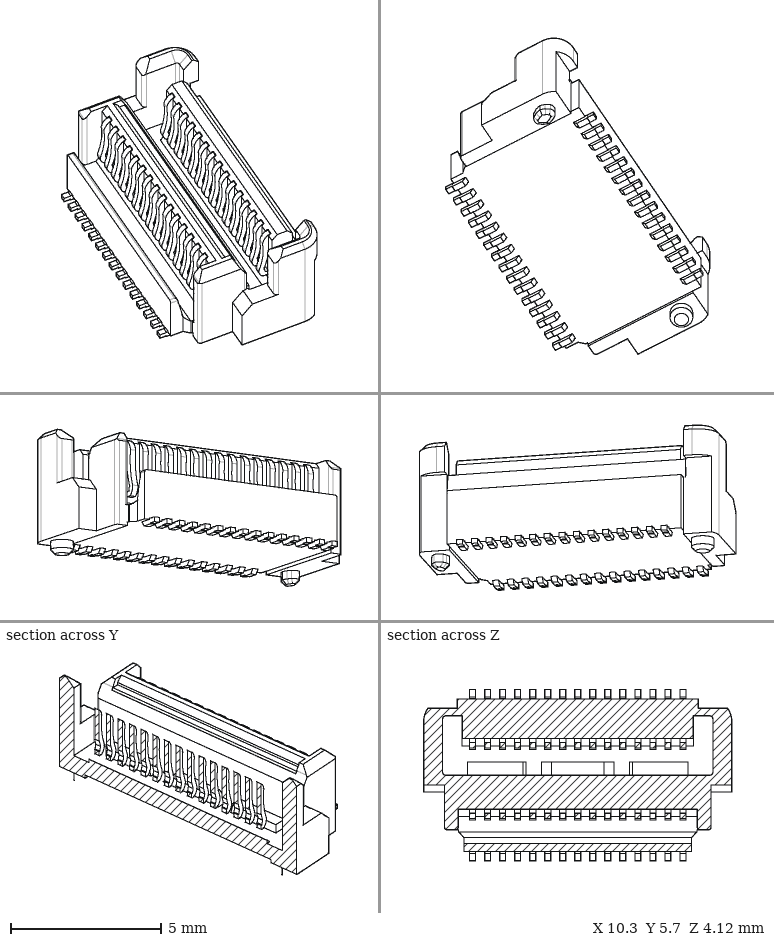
import cadquery as cq
import math


HOUSING_WIDTH = 10.26
HOUSING_FRONT_Y = -0.56
HOUSING_REAR_Y = 2.53
ARM_TOP_Z = 3.7
CORNER_RADIUS = 0.75
ARM_OUTER_CHAMFER = 0.18
ARM_INNER_CHAMFER = 0.31
CHAMFER_CLEARANCE = 0.0001
ARM_FRONT_Y = 0.67
ARM_FRONT_CHAMFER = 0.4
ARM_EDGE_RADIUS = 0.12
ARM_TIP_X = 4.09
OVERHANG_Z = 2.63
BACK_FACE_Y = 2.23
SHOULDER_Z = 1.81
SHOULDER_CHAMFER = 0.39
FLOOR_Z = 0.71
CAVITY_HALF_WIDTH = 4.49
CAVITY_REAR_Y = 1.97
CAVITY_CORNER_RADIUS = 0.1

WALL_TOP_Z = 3.2
WALL_CHAMFER = 0.2
FOOT_CHAMFER = 0.24
ROW_SPACING = 2.35
FRONT_WALL_FACE_Y = -1.14
REAR_WALL_FACE_Y = FRONT_WALL_FACE_Y + ROW_SPACING
REAR_WALL_HALF_WIDTH = 3.85
LEDGE_HALF_WIDTH = 4.1
LEDGE_REAR_Y = 2.08

BAR_BOTTOM_Z = 0.12
REAR_BAR_HALF_WIDTH = 4.01
REAR_BAR_TOP_Z = 1.97
COVER_HALF_WIDTH = 3.79
COVER_FRONT_Y = -2.54
COVER_TOP_BACK_Y = -2.3
COVER_FOOT_Y = -2.08
COVER_FOOT_Z = 0.84
COVER_EDGE_RADIUS = 0.08
WEB_REAR_Y = -1.89
WEB_BEND_RUN = 0.087
WEB_BEND_RISE = 0.053

BLOCK_HALF_WIDTH = 4.44
BLOCK_FRONT_Y = -1.83
BLOCK_CREST_Y = -0.42
BLOCK_SIDE_CHAMFER = 0.31
BLOCK_FRONT_CHAMFER = 0.28
BLOCK_EDGE_RADIUS = 0.11
BLOCK_LIP_Y = -1.8
BLOCK_LIP_Z = 2.92
BLOCK_LIP_DROP = 0.06
BLOCK_SLOPE_START_Z = 2.48
BLOCK_SLOPE_KNEE_Y = -0.29
BLOCK_SLOPE_KNEE_Z = 2.94
SLOT_HALF_WIDTH = 3.97
SLOT_MOUTH_RADIUS = 0.11
RECESS_EDGE_Y = -0.24
RECESS_Z = 2.91
RECESS_LIP = 0.06
RECESS_FRONT_Y = -0.73

CONTACT_COUNT = 15
CONTACT_PITCH = 0.5001
CONTACT_WIDTH = 0.21
CONTACT_ROOT = -0.1
CONTACT_TIP = (-0.06, 3.09)
CONTACT_NOSE = (0.12, 2.95)
CONTACT_BULGE = (0.23, 2.72)
CONTACT_WAIST = (0.21, 2.31)
CONTACT_KNEE = (0.36, 1.49)
CONTACT_CURL = (0.33, 1.29)
CONTACT_END = (0.21, 1.15)
CONTACT_GAP = [(0, 2.1), (0.16, 1.5), (0.12, 1.33), (0, 1.29)]
TAIL_REACH_Y = 2.85
TAIL_TOP_Z = 0.15
TAIL_BOTTOM_Z = -0.01
HEEL_BOTTOM_Z = -0.04
TAIL_STEP = 0.25
TAIL_OVERLAP = 0.05
HEEL_SLANT = 0.12

PEG_X = 4.49
PEG_Y = 1.49
PEG_DIAMETER = 0.76
DIAMOND_PEG_WIDTH = 0.62
DIAMOND_PEG_SHOULDER = (0.25, 0.17)
DIAMOND_PEG_ARC_END = (0.15, 0.32)
PEG_BOTTOM_Z = -0.42
PEG_CHAMFER = 0.14

KEY_DEPTH_Y = 0.44
KEY_HEIGHT = 0.33
CENTRE_KEY = (-1.2, 1.2, 0.33, 0.33)
LEFT_KEY = (-3.67, -1.72, 0.0, 0.09)
RIGHT_KEY = (1.72, 3.67, 0.09, 0.0)


def box(x0, x1, y0, y1, z0, z1):
    return cq.Workplane("XY").box(x1 - x0, y1 - y0, z1 - z0, centered=False).translate((x0, y0, z0))


def across(points, half_width):
    """Extrude a closed (Y, Z) outline symmetrically along X."""
    return cq.Workplane("YZ").polyline(points).close().extrude(half_width, both=True)


def make_housing():
    half = HOUSING_WIDTH / 2
    body = box(-half, half, HOUSING_FRONT_Y, HOUSING_REAR_Y, 0, ARM_TOP_Z)
    body = body.edges("|Z and >Y").fillet(CORNER_RADIUS)
    body = body.faces(">Z").edges().chamfer(ARM_OUTER_CHAMFER)

    cavity = box(
        -CAVITY_HALF_WIDTH, CAVITY_HALF_WIDTH,
        0, CAVITY_REAR_Y,
        FLOOR_Z, ARM_TOP_Z,
    ).edges("|Z").fillet(CAVITY_CORNER_RADIUS)
    mouth_z = ARM_TOP_Z - ARM_INNER_CHAMFER
    flare_half = CAVITY_HALF_WIDTH + ARM_INNER_CHAMFER
    flare = box(
        -flare_half, flare_half,
        0, CAVITY_REAR_Y + ARM_INNER_CHAMFER,
        mouth_z, ARM_TOP_Z,
    ).edges("|Z and >Y").fillet(CAVITY_CORNER_RADIUS + ARM_INNER_CHAMFER)
    flare = flare.faces("<Z").edges().chamfer(ARM_INNER_CHAMFER - CHAMFER_CLEARANCE)
    body = body.cut(cavity).cut(flare)

    body = body.cut(box(-ARM_TIP_X, ARM_TIP_X, 0, HOUSING_REAR_Y, REAR_BAR_TOP_Z, ARM_TOP_Z))
    body = body.cut(box(-half, half, BACK_FACE_Y, HOUSING_REAR_Y, 0, OVERHANG_Z))

    notch_rear_y = ARM_FRONT_Y + ARM_EDGE_RADIUS
    notch = box(-half, half, HOUSING_FRONT_Y, notch_rear_y, SHOULDER_Z, ARM_TOP_Z)
    post = box(CAVITY_HALF_WIDTH, half, ARM_FRONT_Y, HOUSING_REAR_Y, SHOULDER_Z, ARM_TOP_Z)
    post = post.edges("|Z and <Y").fillet(ARM_EDGE_RADIUS)
    body = body.cut(notch.cut(post).cut(post.mirror("YZ")))
    body = body.cut(across(
        [(ARM_FRONT_Y, ARM_TOP_Z),
         (ARM_FRONT_Y + ARM_FRONT_CHAMFER, ARM_TOP_Z),
         (ARM_FRONT_Y, ARM_TOP_Z - ARM_FRONT_CHAMFER)], half))
    body = body.cut(across(
        [(HOUSING_FRONT_Y, SHOULDER_Z),
         (HOUSING_FRONT_Y + SHOULDER_CHAMFER, SHOULDER_Z),
         (HOUSING_FRONT_Y, SHOULDER_Z - SHOULDER_CHAMFER)], half))
    return body


def make_rear_wall():
    face = REAR_WALL_FACE_Y
    wall = across(
        [(face - FOOT_CHAMFER, FLOOR_Z),
         (face, FLOOR_Z + FOOT_CHAMFER),
         (face, WALL_TOP_Z - WALL_CHAMFER),
         (face + WALL_CHAMFER, WALL_TOP_Z),
         (CAVITY_REAR_Y - WALL_CHAMFER, WALL_TOP_Z),
         (CAVITY_REAR_Y, WALL_TOP_Z - WALL_CHAMFER),
         (CAVITY_REAR_Y, FLOOR_Z)], REAR_WALL_HALF_WIDTH)
    ledge = across(
        [(CAVITY_REAR_Y, FLOOR_Z),
         (CAVITY_REAR_Y, OVERHANG_Z),
         (LEDGE_REAR_Y, OVERHANG_Z),
         (BACK_FACE_Y, REAR_BAR_TOP_Z),
         (BACK_FACE_Y, FLOOR_Z)], LEDGE_HALF_WIDTH)
    bar = box(-REAR_BAR_HALF_WIDTH, REAR_BAR_HALF_WIDTH,
              CAVITY_REAR_Y, HOUSING_REAR_Y, BAR_BOTTOM_Z, REAR_BAR_TOP_Z)
    return wall.union(ledge).union(bar)


def make_front_block():
    width = BLOCK_HALF_WIDTH
    block = box(-width, width, BLOCK_FRONT_Y, 0, 0, WALL_TOP_Z)
    block = block.edges("|Z").fillet(BLOCK_EDGE_RADIUS)
    block = block.intersect(across(
        [(0, 0),
         (0, BLOCK_SLOPE_START_Z),
         (BLOCK_SLOPE_KNEE_Y, BLOCK_SLOPE_KNEE_Z),
         (BLOCK_CREST_Y, WALL_TOP_Z),
         (BLOCK_FRONT_Y + BLOCK_FRONT_CHAMFER, WALL_TOP_Z),
         (BLOCK_LIP_Y, BLOCK_LIP_Z),
         (BLOCK_FRONT_Y, BLOCK_LIP_Z - BLOCK_LIP_DROP),
         (BLOCK_FRONT_Y, 0)], width))
    for side in (-1, 1):
        corner = [(side * width, WALL_TOP_Z),
                  (side * (width - BLOCK_SIDE_CHAMFER), WALL_TOP_Z),
                  (side * width, WALL_TOP_Z - BLOCK_SIDE_CHAMFER)]
        block = block.cut(
            cq.Workplane("XZ").polyline(corner).close().extrude(-BLOCK_FRONT_Y))

    face = FRONT_WALL_FACE_Y
    block = block.cut(across(
        [(BLOCK_FRONT_Y, FLOOR_Z),
         (face - FOOT_CHAMFER, FLOOR_Z),
         (face, FLOOR_Z + FOOT_CHAMFER),
         (face, WALL_TOP_Z - WALL_CHAMFER),
         (face + WALL_CHAMFER, WALL_TOP_Z),
         (BLOCK_FRONT_Y, WALL_TOP_Z)], SLOT_HALF_WIDTH))
    wall_end_y = BLOCK_FRONT_Y + SLOT_MOUTH_RADIUS
    mouth_half = SLOT_HALF_WIDTH + SLOT_MOUTH_RADIUS
    arc_inset = SLOT_MOUTH_RADIUS * math.sqrt(0.5)
    mouth = (
        cq.Workplane("XY", origin=(0, 0, FLOOR_Z))
        .moveTo(-mouth_half, BLOCK_FRONT_Y)
        .threePointArc((arc_inset - mouth_half, wall_end_y - arc_inset), (-SLOT_HALF_WIDTH, wall_end_y))
        .lineTo(SLOT_HALF_WIDTH, wall_end_y)
        .threePointArc((mouth_half - arc_inset, wall_end_y - arc_inset), (mouth_half, BLOCK_FRONT_Y))
        .close()
        .extrude(WALL_TOP_Z)
    )
    block = block.cut(mouth)

    block = block.cut(across(
        [(0, RECESS_Z - RECESS_LIP),
         (RECESS_EDGE_Y, RECESS_Z - RECESS_LIP),
         (RECESS_EDGE_Y - RECESS_LIP, RECESS_Z),
         (RECESS_FRONT_Y + WALL_CHAMFER, RECESS_Z),
         (RECESS_FRONT_Y + WALL_CHAMFER, WALL_TOP_Z - WALL_CHAMFER),
         (RECESS_FRONT_Y, WALL_TOP_Z),
         (0, WALL_TOP_Z)], SLOT_HALF_WIDTH))
    return block


def make_cover():
    top = SHOULDER_Z
    cover = across(
        [(COVER_FRONT_Y, BAR_BOTTOM_Z),
         (COVER_FRONT_Y, top),
         (COVER_TOP_BACK_Y, top),
         (COVER_FOOT_Y, COVER_FOOT_Z),
         (COVER_FOOT_Y, BAR_BOTTOM_Z)], COVER_HALF_WIDTH)
    cover = cover.faces(">Z").edges("not <Y").fillet(COVER_EDGE_RADIUS)
    bend = (COVER_FOOT_Y + WEB_BEND_RUN, FLOOR_Z + WEB_BEND_RISE)
    web = (
        cq.Workplane("YZ")
        .moveTo(COVER_FOOT_Y, BAR_BOTTOM_Z)
        .lineTo(COVER_FOOT_Y, COVER_FOOT_Z)
        .threePointArc(bend, (WEB_REAR_Y, FLOOR_Z))
        .lineTo(BLOCK_FRONT_Y, FLOOR_Z)
        .lineTo(BLOCK_FRONT_Y, BAR_BOTTOM_Z)
        .close()
        .extrude(SLOT_HALF_WIDTH, both=True)
    )
    plan = [(-COVER_HALF_WIDTH, COVER_FOOT_Y),
            (-SLOT_HALF_WIDTH, WEB_REAR_Y),
            (-SLOT_HALF_WIDTH, BLOCK_FRONT_Y),
            (SLOT_HALF_WIDTH, BLOCK_FRONT_Y),
            (SLOT_HALF_WIDTH, WEB_REAR_Y),
            (COVER_HALF_WIDTH, COVER_FOOT_Y)]
    web = web.intersect(cq.Workplane("XY").polyline(plan).close().extrude(top))
    return cover.union(web)


def make_contact(row_offset):
    """Sprung contact in front of a wall, with a gap behind its lower bend."""
    def place(point):
        return (FRONT_WALL_FACE_Y + row_offset - point[0], point[1])

    rib = (
        cq.Workplane("YZ")
        .moveTo(*place((CONTACT_ROOT, CONTACT_TIP[1])))
        .lineTo(*place(CONTACT_TIP))
        .threePointArc(place(CONTACT_NOSE), place(CONTACT_BULGE))
        .threePointArc(place(CONTACT_WAIST), place(CONTACT_KNEE))
        .threePointArc(place(CONTACT_CURL), place(CONTACT_END))
        .lineTo(*place((CONTACT_ROOT, CONTACT_END[1])))
        .close()
        .extrude(CONTACT_WIDTH / 2, both=True)
    )
    return rib.cut(across([place(point) for point in CONTACT_GAP], CONTACT_WIDTH))


def make_tail(inner_y):
    """Front solder tail; the heel under the bar drops below the tail."""
    heel_y = TAIL_STEP - TAIL_REACH_Y
    return across(
        [(-TAIL_REACH_Y, TAIL_BOTTOM_Z),
         (-TAIL_REACH_Y, TAIL_TOP_Z),
         (heel_y, TAIL_TOP_Z),
         (COVER_FRONT_Y, BAR_BOTTOM_Z + TAIL_OVERLAP),
         (inner_y, BAR_BOTTOM_Z + TAIL_OVERLAP),
         (inner_y, BAR_BOTTOM_Z),
         (inner_y - HEEL_SLANT, HEEL_BOTTOM_Z),
         (heel_y, HEEL_BOTTOM_Z),
         (heel_y, TAIL_BOTTOM_Z)], CONTACT_WIDTH / 2)


def make_peg(plan):
    return plan.extrude(PEG_BOTTOM_Z).faces("<Z").chamfer(PEG_CHAMFER)


def round_peg_plan():
    return cq.Workplane("XY", origin=(-PEG_X, PEG_Y, 0)).circle(PEG_DIAMETER / 2)


def diamond_peg_plan():
    """Relieved peg: as long in Y as the round peg is wide, but narrower in X."""
    side = DIAMOND_PEG_WIDTH / 2
    tip = PEG_DIAMETER / 2
    shoulder = DIAMOND_PEG_SHOULDER
    arc_end = DIAMOND_PEG_ARC_END
    return (
        cq.Workplane("XY", origin=(PEG_X, PEG_Y, 0))
        .moveTo(side, 0)
        .lineTo(shoulder[0], shoulder[1])
        .lineTo(arc_end[0], arc_end[1])
        .threePointArc((0, tip), (-arc_end[0], arc_end[1]))
        .lineTo(-shoulder[0], shoulder[1])
        .lineTo(-side, 0)
        .lineTo(-shoulder[0], -shoulder[1])
        .lineTo(-arc_end[0], -arc_end[1])
        .threePointArc((0, -tip), (arc_end[0], -arc_end[1]))
        .lineTo(shoulder[0], -shoulder[1])
        .close()
    )


def make_key(left, right, left_draft, right_draft):
    top = FLOOR_Z + KEY_HEIGHT
    outline = [(left, FLOOR_Z),
               (left + left_draft, top),
               (right - right_draft, top),
               (right, FLOOR_Z)]
    return cq.Workplane("XZ").polyline(outline).close().extrude(-KEY_DEPTH_Y)


result = make_housing()
result = result.union(make_rear_wall()).union(make_front_block()).union(make_cover())

result = result.cut(box(-REAR_BAR_HALF_WIDTH, REAR_BAR_HALF_WIDTH,
                        COVER_FRONT_Y, HOUSING_REAR_Y, 0, BAR_BOTTOM_Z))

for key in (LEFT_KEY, CENTRE_KEY, RIGHT_KEY):
    result = result.union(make_key(*key))

front_tail = make_tail(COVER_FOOT_Y)
set_of_four = (
    make_contact(0)
    .union(make_contact(ROW_SPACING))
    .union(front_tail)
    .union(front_tail.mirror("XZ"))
)
for index in range(CONTACT_COUNT):
    x = (index - (CONTACT_COUNT - 1) / 2) * CONTACT_PITCH
    result = result.union(set_of_four.translate((x, 0, 0)))

result = result.union(make_peg(round_peg_plan()))
result = result.union(make_peg(diamond_peg_plan()))